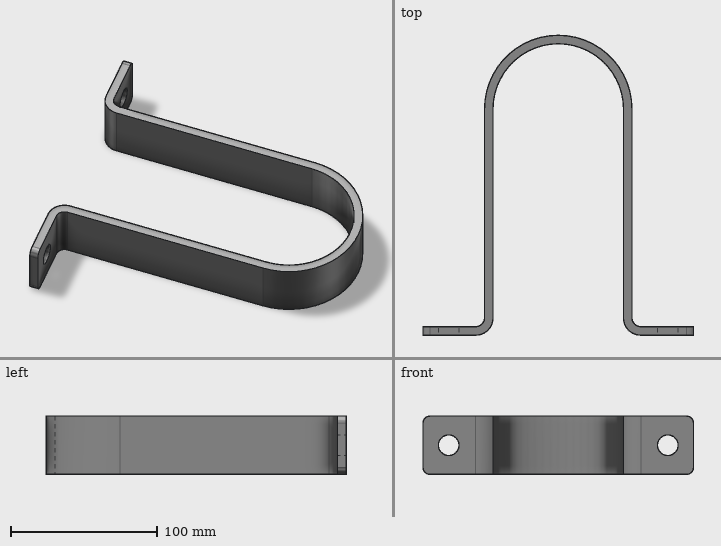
import cadquery as cq

overall_width = 185.0
overall_length = 205.0
strip_width = 40.0
thickness = 6.0
bow_outer_radius = 50.5
bend_inner_radius = 6.0
hole_spacing = 149.6
hole_diameter = 14.0
corner_radius = 5.0

half_width = overall_width / 2
bow_inner_radius = bow_outer_radius - thickness
bow_center_y = overall_length - bow_outer_radius
bend_outer_radius = bend_inner_radius + thickness
bend_center_x = bow_outer_radius + bend_inner_radius


def make_bow():
    """Half-round band closing the far end of the strap."""
    return (
        cq.Workplane("XY")
        .moveTo(-bow_outer_radius, bow_center_y)
        .threePointArc((0, overall_length), (bow_outer_radius, bow_center_y))
        .lineTo(bow_inner_radius, bow_center_y)
        .threePointArc((0, bow_center_y + bow_inner_radius), (-bow_inner_radius, bow_center_y))
        .close()
        .extrude(strip_width)
    )


def make_leg():
    """Straight leg, quarter-round bend and rounded, drilled foot on the +X side."""
    leg = (
        cq.Workplane("XY")
        .moveTo(bow_inner_radius, bow_center_y)
        .lineTo(bow_inner_radius, bend_outer_radius)
        .radiusArc((bend_center_x, 0), -bend_outer_radius)
        .lineTo(half_width, 0)
        .lineTo(half_width, thickness)
        .lineTo(bend_center_x, thickness)
        .radiusArc((bow_outer_radius, bend_outer_radius), bend_inner_radius)
        .lineTo(bow_outer_radius, bow_center_y)
        .close()
        .extrude(strip_width)
    )
    leg = leg.faces(">X").edges("|Y").fillet(corner_radius)
    hole = (
        cq.Workplane("XZ")
        .center(hole_spacing / 2, strip_width / 2)
        .circle(hole_diameter / 2)
        .extrude(-thickness)
    )
    return leg.cut(hole)


right_leg = make_leg()
left_leg = right_leg.mirror("YZ")
result = make_bow().union(right_leg).union(left_leg)